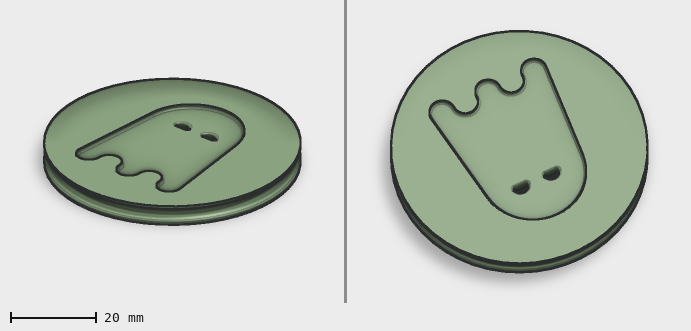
import cadquery as cq
import math

disc_radius = 30.0
disc_thickness = 5.0
groove_radius = 1.5
groove_lip_fillet = 0.5

pocket_depth = 1.0
pocket_floor_fillet = 0.5
head_radius = 12.5
head_center_y = 6.95
lobe_radius = 3.0
lobe_center_y = -16.15
outer_lobe_x = 4 * lobe_radius
arch_center_x = outer_lobe_x / 2

eye_radius = 2.0
eye_corner_fillet = 0.5
eye_rim_fillet = 0.5
eye_center_x = 4.0
eye_base_y = 8.3

selection_margin = 0.1

mid_z = disc_thickness / 2
floor_z = disc_thickness - pocket_depth


def make_disc():
    """Revolve the half section: flat rims, rounded lips and a circular groove."""
    lip_center_r = disc_radius - groove_lip_fillet
    center_distance = groove_radius + groove_lip_fillet
    lip_offset_z = math.sqrt(center_distance**2 - groove_lip_fillet**2)

    groove_share = groove_radius / center_distance
    meet_r = disc_radius - groove_lip_fillet * groove_share
    meet_offset_z = lip_offset_z * groove_share

    lip_half_angle = math.atan2(lip_offset_z, groove_lip_fillet) / 2
    lip_mid_r = lip_center_r + groove_lip_fillet * math.cos(lip_half_angle)
    lip_mid_offset_z = lip_offset_z - groove_lip_fillet * math.sin(lip_half_angle)

    section = (
        cq.Workplane("XZ")
        .lineTo(disc_radius, 0)
        .lineTo(disc_radius, mid_z - lip_offset_z)
        .threePointArc((lip_mid_r, mid_z - lip_mid_offset_z), (meet_r, mid_z - meet_offset_z))
        .threePointArc((disc_radius - groove_radius, mid_z), (meet_r, mid_z + meet_offset_z))
        .threePointArc((lip_mid_r, mid_z + lip_mid_offset_z), (disc_radius, mid_z + lip_offset_z))
        .lineTo(disc_radius, disc_thickness)
        .lineTo(0, disc_thickness)
        .close()
    )
    return section.revolve(360, (0, 0, 0), (0, 1, 0))


def make_ghost():
    """Solid filling the pocket, with its floor edge rounded."""
    drop = head_center_y - lobe_center_y
    center_distance = math.hypot(outer_lobe_x, drop)
    side_tilt = math.atan2(outer_lobe_x, drop) - math.asin((head_radius - lobe_radius) / center_distance)
    normal_x = math.cos(side_tilt)
    normal_y = math.sin(side_tilt)
    head_side_x = head_radius * normal_x
    head_side_y = head_center_y + head_radius * normal_y
    lobe_side_x = outer_lobe_x + lobe_radius * normal_x
    lobe_side_y = lobe_center_y + lobe_radius * normal_y
    lobe_bottom_y = lobe_center_y - lobe_radius
    arch_top_y = lobe_center_y + lobe_radius

    outline = (
        cq.Workplane("XY")
        .workplane(offset=floor_z)
        .moveTo(head_side_x, head_side_y)
        .threePointArc((0, head_center_y + head_radius), (-head_side_x, head_side_y))
        .lineTo(-lobe_side_x, lobe_side_y)
        .threePointArc((-outer_lobe_x, lobe_bottom_y), (-outer_lobe_x + lobe_radius, lobe_center_y))
        .threePointArc((-arch_center_x, arch_top_y), (-lobe_radius, lobe_center_y))
        .threePointArc((0, lobe_bottom_y), (lobe_radius, lobe_center_y))
        .threePointArc((arch_center_x, arch_top_y), (outer_lobe_x - lobe_radius, lobe_center_y))
        .threePointArc((outer_lobe_x, lobe_bottom_y), (lobe_side_x, lobe_side_y))
        .close()
    )
    return outline.extrude(pocket_depth).faces("<Z").edges().fillet(pocket_floor_fillet)


def cut_eye(body, center_x):
    """Cut one half-round eye through the floor and round its upper rim."""
    eye = (
        cq.Workplane("XY")
        .moveTo(center_x + eye_radius, eye_base_y)
        .threePointArc((center_x, eye_base_y + eye_radius), (center_x - eye_radius, eye_base_y))
        .close()
        .extrude(floor_z)
        .edges("|Z")
        .fillet(eye_corner_fillet)
    )
    reach_x = eye_radius + selection_margin
    low_y = eye_base_y - selection_margin
    high_y = eye_base_y + eye_radius + selection_margin
    rim_edges = cq.selectors.BoxSelector(
        (center_x - reach_x, low_y, floor_z - selection_margin),
        (center_x + reach_x, high_y, floor_z + selection_margin),
    )
    return body.cut(eye).edges(rim_edges).fillet(eye_rim_fillet)


result = make_disc().cut(make_ghost())
for side in (-1, 1):
    result = cut_eye(result, side * eye_center_x)